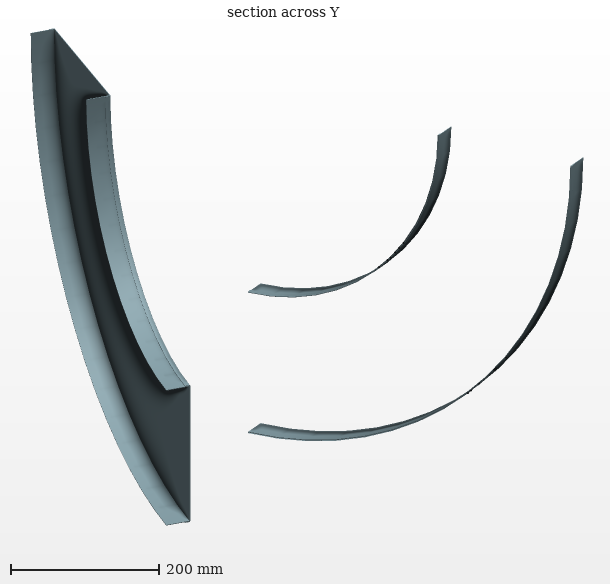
import cadquery as cq

outer_radius = 504.5
tray_width = 209.0
total_depth = 35.0
sheet = 1.0
bend_radius = 1.5
lip_height = 7.5

inner_radius = outer_radius - tray_width
centre_x = outer_radius / 2
centre_z = outer_radius / 2
back_y = total_depth / 2
front_y = back_y - total_depth
lip_y = back_y - lip_height
rail_back_y = back_y - bend_radius


def quarter_ring(small_radius, large_radius, y_back, y_front):
    """Quarter of a ring with a rectangular section, on the -X, -Z side of the bend centre."""
    section = (
        cq.Workplane("XY")
        .moveTo(small_radius, y_front)
        .lineTo(large_radius, y_front)
        .lineTo(large_radius, y_back)
        .lineTo(small_radius, y_back)
        .close()
    )
    ring = section.revolve(90, (0, 0, 0), (0, 1, 0))
    return ring.rotate((0, 0, 0), (0, 1, 0), 90).translate((centre_x, 0, centre_z))


def round_back_arcs(ring, radius):
    """Round the two curved edges at the back of a ring."""
    return ring.edges("%CIRCLE").edges(">Y").fillet(radius)


def make_tray():
    """Curved sheet floor with a low lip bent up along each arc."""
    blank = quarter_ring(inner_radius, outer_radius, back_y, lip_y)
    trough = quarter_ring(inner_radius + sheet, outer_radius - sheet, back_y - sheet, lip_y)
    return round_back_arcs(blank, bend_radius).cut(round_back_arcs(trough, bend_radius - sheet))


def make_side_rail(small_radius):
    """Thin curved side rail that starts at small_radius and stands against the inside of a lip."""
    return quarter_ring(small_radius, small_radius + sheet, rail_back_y, front_y)


tray = make_tray()

rail_radii = (inner_radius + sheet, outer_radius - 2 * sheet)
side_rails = [make_side_rail(radius) for radius in rail_radii]

result = cq.Compound.makeCompound([tray.val(), *[rail.val() for rail in side_rails]])